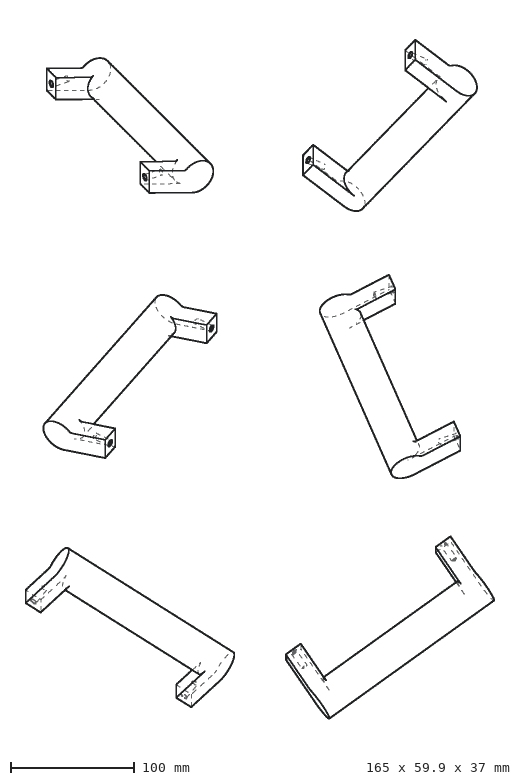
import cadquery as cq
import math

length = 165.0
bar_diameter = 30.0
bar_radius = bar_diameter / 2

leg_width = 15.0
mount_reach = 44.9
mount_height = 22.0
neck_fillet = 3.0

hole_diameter = 5.0
hole_depth = 15.0
drill_point_angle = 118
mouth_diameter = 6.0
mouth_depth = (mouth_diameter - hole_diameter) / 2

slope = math.asin(bar_radius / mount_reach)
tangent_point = (-bar_radius * math.sin(slope), -bar_radius * math.cos(slope))

top_offset = (mount_height - mount_reach * math.tan(slope)) * math.cos(slope)
along_top = math.sqrt(bar_radius**2 - top_offset**2)
top_entry = (
    -along_top * math.cos(slope) + top_offset * math.sin(slope),
    along_top * math.sin(slope) + top_offset * math.cos(slope),
)


def end_section(start_x):
    """Bar slice and sloping leg as one profile, with the upper neck rounded."""
    section = (
        cq.Workplane("YZ", origin=(start_x, 0, 0))
        .moveTo(-mount_reach, 0)
        .lineTo(*tangent_point)
        .threePointArc((bar_radius, 0), top_entry)
        .lineTo(-mount_reach, mount_height)
        .close()
        .extrude(leg_width)
    )
    neck = cq.selectors.NearestToPointSelector((start_x + leg_width / 2, *top_entry))
    return section.edges("|X").edges(neck).fillet(neck_fillet)


def mounting_hole(center_x):
    """Bore from the mounting face, including its conical mouth and pointed bottom."""
    hole_radius = hole_diameter / 2
    center = cq.Vector(center_x, -mount_reach, mount_height / 2)
    inward = cq.Vector(0, 1, 0)
    bore = cq.Solid.makeCylinder(hole_radius, hole_depth, center, inward)
    mouth = cq.Solid.makeCone(mouth_diameter / 2, hole_radius, mouth_depth, center, inward)
    tip_depth = hole_radius / math.tan(math.radians(drill_point_angle / 2))
    tip = cq.Solid.makeCone(hole_radius, 0, tip_depth, center + inward * hole_depth, inward)
    return bore.fuse(mouth, tip)


result = cq.Workplane("YZ").circle(bar_radius).extrude(length)
for start_x in (0, length - leg_width):
    result = result.union(end_section(start_x))
    result = result.cut(mounting_hole(start_x + leg_width / 2))